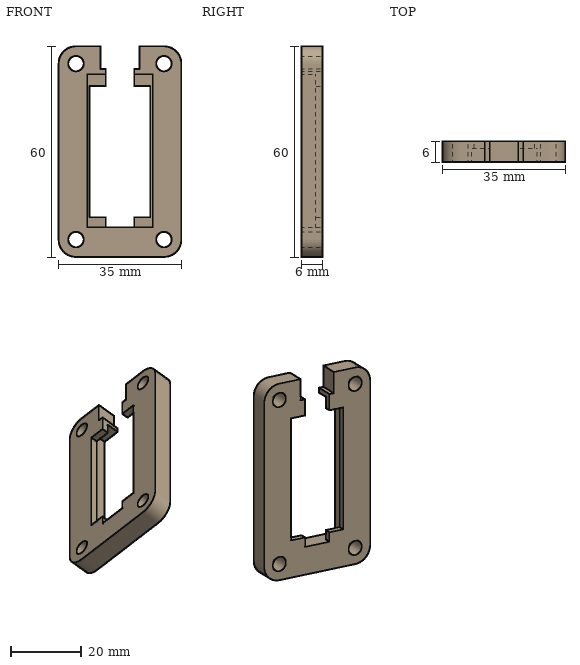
import cadquery as cq

width = 35.0
height = 60.0
thickness = 6.0
corner_radius = 5.0
hole_diameter = 4.3

pocket_width = 18.7
pocket_bottom = 8.5
pocket_top = 52.0
pocket_depth = 3.9
opening_width = 17.2
opening_bottom = 11.4
opening_top = 48.6

gap_width = 11.0
lip_gap_width = 8.05
lip_top = 53.5


def centred_block(block_width, bottom, top, depth):
    """Block centred on x = 0, reaching from the front face to the given depth."""
    return cq.Workplane("XY").box(
        block_width, depth, top - bottom, centered=(True, False, False)
    ).translate((0, 0, bottom))


plate = centred_block(width, 0, height, thickness).edges("|Y").fillet(corner_radius)

hole_centres = [
    (side * (width / 2 - corner_radius), z)
    for side in (-1, 1)
    for z in (corner_radius, height - corner_radius)
]
mounting_holes = (
    cq.Workplane("XZ")
    .pushPoints(hole_centres)
    .circle(hole_diameter / 2)
    .extrude(-thickness)
)

pocket = centred_block(pocket_width, pocket_bottom, pocket_top, pocket_depth)
opening = centred_block(opening_width, opening_bottom, opening_top, thickness)
lip_gap = centred_block(lip_gap_width, pocket_bottom, height, thickness)
upper_gap = centred_block(gap_width, lip_top, height, thickness)

result = plate.cut(mounting_holes).cut(pocket).cut(opening).cut(lip_gap).cut(upper_gap)